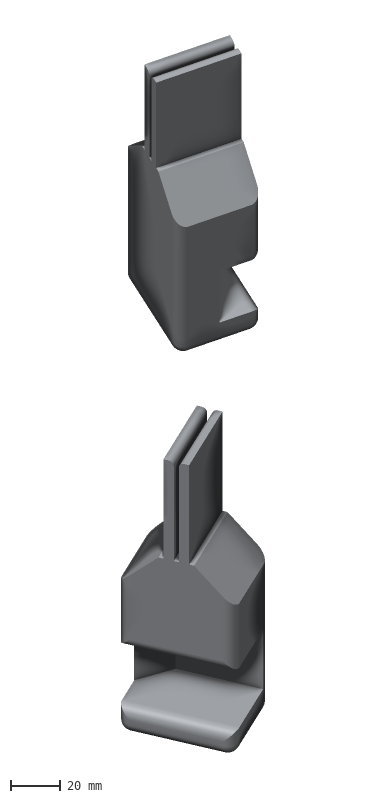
import cadquery as cq

total_height = 144.9
width = 50.8
depth = 38.1

body_height = 94.2
edge_radius = 5.0
shoulder_width = 15.4
slope_run = (width - shoulder_width) / 2

blade_thickness = 4.5
blade_gap = 2.2
blade_tip_radius = 2.5

window_floor = 13.0
window_top = 43.6
front_wall = 6.1
ramp_size = depth / 2 - front_wall

half_width = width / 2
front_y = -depth / 2
back_y = depth / 2


def make_body():
    """Box with rounded vertical and bottom edges and a 45 degree roof."""
    block = cq.Workplane("XY").box(width, depth, body_height, centered=(True, True, False))
    block = block.edges("|Z").fillet(edge_radius)
    block = block.faces("<Z").edges().fillet(edge_radius)
    half_shoulder = shoulder_width / 2
    eaves_height = body_height - slope_run
    envelope = (
        cq.Workplane("XZ")
        .polyline([
            (-half_width, 0),
            (half_width, 0),
            (half_width, eaves_height),
            (half_shoulder, body_height),
            (-half_shoulder, body_height),
            (-half_width, eaves_height),
        ])
        .close()
        .extrude(depth / 2, both=True)
    )
    return block.intersect(envelope)


def make_blade(side):
    """Blade on the given side (-1 or 1), its inner top edge rounded."""
    center_x = side * (blade_gap + blade_thickness) / 2
    blade_height = total_height - body_height
    blade = (
        cq.Workplane("XY", origin=(center_x, 0, body_height))
        .box(blade_thickness, depth, blade_height, centered=(True, True, False))
    )
    inner_face = "<X" if side > 0 else ">X"
    return blade.faces(inner_face).edges(">Z").fillet(blade_tip_radius)


def make_window():
    """Through-X cutter that flares with convex roundings at the back face."""
    flare_y = back_y - edge_radius
    cutter = (
        cq.Workplane("YZ")
        .moveTo(front_y + front_wall, window_floor)
        .lineTo(flare_y, window_floor)
        .radiusArc((back_y, window_floor - edge_radius), edge_radius)
        .lineTo(back_y, window_top + edge_radius)
        .radiusArc((flare_y, window_top), edge_radius)
        .lineTo(front_y + front_wall, window_top)
        .close()
        .extrude(half_width, both=True)
    )
    ramp_y = front_y + front_wall
    ramp = (
        cq.Workplane("XY", origin=(0, 0, window_floor))
        .moveTo(half_width - ramp_size, ramp_y)
        .lineTo(half_width, ramp_y)
        .lineTo(half_width, ramp_y + ramp_size)
        .close()
        .extrude(window_top - window_floor)
    )
    return cutter.cut(ramp)


result = make_body().cut(make_window())
for blade_side in (-1, 1):
    result = result.union(make_blade(blade_side))